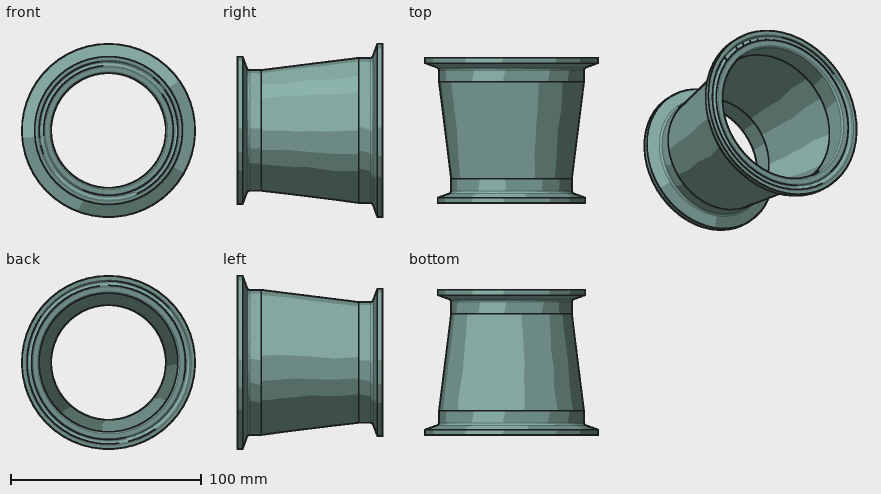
import cadquery as cq
import math

overall_length = 76.2
ferrule_length = 12.6
wall = 1.7

small_tube_radius = 31.7
small_rim_radius = 38.7
large_tube_radius = 38.1
large_rim_radius = 45.5

rim_thickness = 2.8
clamp_angle = math.radians(20)
neck_fillet = 1.5
mouth_fillet = 0.9

groove_offset = 3.5
groove_half_width = 1.3
groove_depth = 1.1
groove_lip_fillet = 0.6
edge_tolerance = 0.1


def revolve_about_y(profile):
    return profile.close().revolve(360, (0, 0, 0), (0, 1, 0))


def make_ferrule(tube_radius, rim_radius):
    """Ferrule with its sealing face on y = 0 and its tube end toward +Y."""
    bore_radius = tube_radius - wall
    fillet_centre_radius = tube_radius + neck_fillet
    slope_end_radius = fillet_centre_radius - neck_fillet * math.sin(clamp_angle)
    slope_end_y = rim_thickness + (rim_radius - slope_end_radius) * math.tan(clamp_angle)
    fillet_end_y = slope_end_y + neck_fillet * math.cos(clamp_angle)
    mid_angle = (clamp_angle + math.pi / 2) / 2
    fillet_middle = (
        fillet_centre_radius - neck_fillet * math.sin(mid_angle),
        fillet_end_y - neck_fillet * math.cos(mid_angle),
    )
    body = revolve_about_y(
        cq.Workplane("ZY")
        .moveTo(bore_radius, 0)
        .lineTo(rim_radius, 0)
        .lineTo(rim_radius, rim_thickness)
        .lineTo(slope_end_radius, slope_end_y)
        .threePointArc(fillet_middle, (tube_radius, fillet_end_y))
        .lineTo(tube_radius, ferrule_length)
        .lineTo(bore_radius, ferrule_length)
    )
    groove_radius = tube_radius + groove_offset
    groove = revolve_about_y(
        cq.Workplane("ZY")
        .moveTo(groove_radius - groove_half_width, 0)
        .threePointArc((groove_radius, groove_depth), (groove_radius + groove_half_width, 0))
    )
    sealing_face_edges = cq.selectors.BoxSelector(
        (-rim_radius, -edge_tolerance, -rim_radius),
        (rim_radius, edge_tolerance, rim_radius),
    )
    grooved = body.cut(groove)

    def face_circle(radius):
        return [
            edge for edge in grooved.edges(sealing_face_edges).vals()
            if edge.geomType() == "CIRCLE" and abs(edge.radius() - radius) < edge_tolerance
        ]

    lips = face_circle(groove_radius - groove_half_width) + face_circle(groove_radius + groove_half_width)
    mouth = face_circle(bore_radius)
    return grooved.newObject(lips).fillet(groove_lip_fillet).newObject(mouth).fillet(mouth_fillet)


def make_reducer():
    """Cone shell that carries the tube bore and outside from one ferrule to the other."""
    small_end_y = ferrule_length
    large_end_y = overall_length - ferrule_length
    return revolve_about_y(
        cq.Workplane("ZY")
        .moveTo(small_tube_radius - wall, small_end_y)
        .lineTo(small_tube_radius, small_end_y)
        .lineTo(large_tube_radius, large_end_y)
        .lineTo(large_tube_radius - wall, large_end_y)
    )


small_ferrule = make_ferrule(small_tube_radius, small_rim_radius)
large_ferrule = (
    make_ferrule(large_tube_radius, large_rim_radius)
    .mirror("XZ")
    .translate((0, overall_length, 0))
)
reducer = make_reducer()

result = cq.Compound.makeCompound([small_ferrule.val(), reducer.val(), large_ferrule.val()])